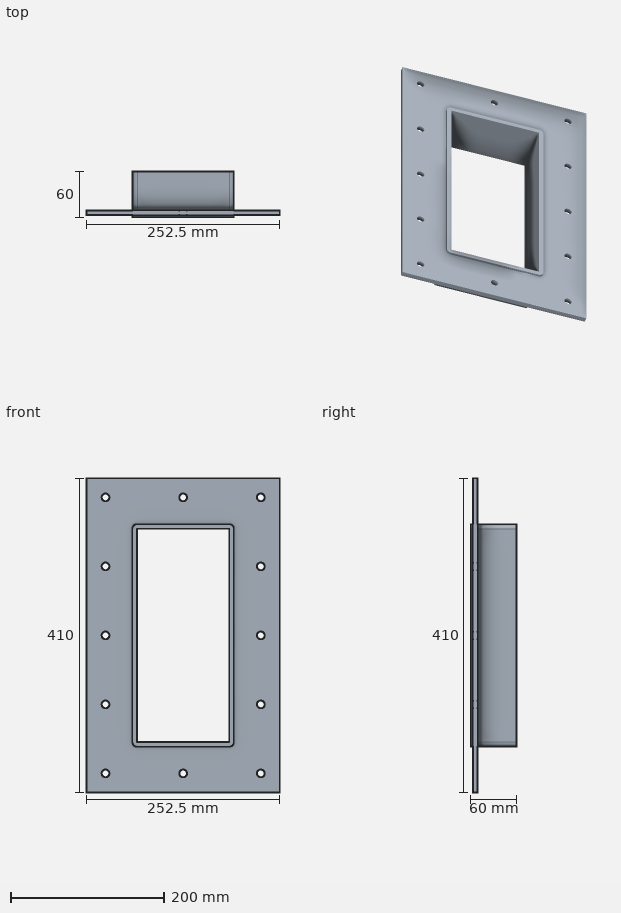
import cadquery as cq

plate_width = 252.5
plate_height = 410.0
plate_thickness = 6.0

opening_width = 120.0
opening_height = 278.0
wall = 6.0
duct_length = 60.0
front_lip = 3.0
corner_radius = wall

hole_diameter = 10.0
hole_margin = 25.0
columns = 3
rows = 5

duct_width = opening_width + 2 * wall
duct_height = opening_height + 2 * wall
column_pitch = (plate_width - 2 * hole_margin) / (columns - 1)
row_pitch = (plate_height - 2 * hole_margin) / (rows - 1)


def block(width, length, height, front_y):
    """Box centred on X and Z, running from front_y towards +Y."""
    box = cq.Workplane("XY").box(width, length, height, centered=(True, False, True))
    return box.translate((0, front_y, 0))


def border_points():
    """Hole centres (x, z) on the outer ring of the hole grid."""
    points = []
    for column in range(columns):
        for row in range(rows):
            if column in (0, columns - 1) or row in (0, rows - 1):
                x = (column - (columns - 1) / 2) * column_pitch
                z = (row - (rows - 1) / 2) * row_pitch
                points.append((x, z))
    return points


plate = block(plate_width, plate_thickness, plate_height, front_lip)
duct = block(duct_width, duct_length, duct_height, 0).edges("|Y").fillet(corner_radius)
opening = block(opening_width, duct_length, opening_height, 0)

bolt_holes = (
    cq.Workplane("XZ")
    .pushPoints(border_points())
    .circle(hole_diameter / 2)
    .extrude(-duct_length)
)

result = plate.cut(bolt_holes).union(duct).cut(opening)